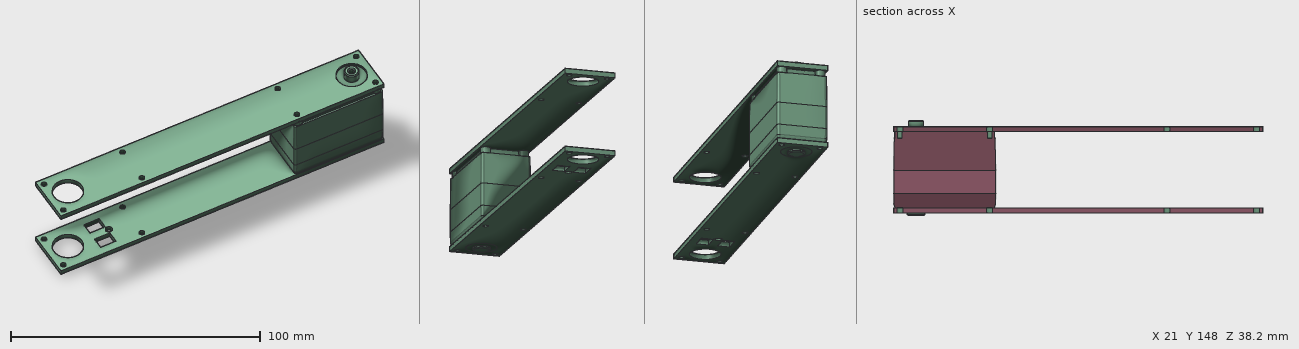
import cadquery as cq
import math

arm_length = 148.0
arm_width = 21.0
plate_thickness = 2.0
overall_height = 38.2

case_corner_radius = 1.0
case_draft = 1.0

lower_plate_bottom = 1.0
lower_case_shoulder = 4.6
lower_seam = 8.9
upper_seam = 18.2
case_ledge = 31.0
upper_plate_bottom = 33.6
boss_recess = 1.0

lower_plate_top = lower_plate_bottom + plate_thickness
upper_plate_top = upper_plate_bottom + plate_thickness
upper_boss_top = upper_plate_top - boss_recess

screw_hole_diameter = 2.2
screw_inset = 2.5
screw_pitch_y = 36.0
post_diameter = 4.1
pilot_hole_diameter = 1.6

neck_inset_x = 1.0
neck_inset_y = 1.9
neck_draft = 15.0
foot_draft = 16.0

bore_diameter = 12.6
pivot_inset = 9.0

window_size_x = 5.0
window_size_y = 7.0
window_offset_x = 4.5
window_from_bore = 14.6
cable_hole_diameter = 2.8
cable_hole_from_bore = 18.8

shaft_diameter = 6.0
shaft_chamfer = 0.5
socket_diameter = 2.2
socket_rim_diameter = 3.3
socket_depth = 3.0
socket_rim_angle = 90.0

cap_diameter = 7.1
cap_chamfer = 0.5

case_length = screw_pitch_y + 2 * screw_inset
pivot_y = arm_length / 2 - pivot_inset
case_center_y = arm_length / 2 - case_length / 2
screw_x = arm_width / 2 - screw_inset
screw_outer_y = arm_length / 2 - screw_inset
screw_inner_y = screw_outer_y - screw_pitch_y
case_screw_points = [(x, y) for x in (-screw_x, screw_x) for y in (screw_inner_y, screw_outer_y)]
plate_screw_points = case_screw_points + [(x, -y) for x, y in case_screw_points]


def cylinder(diameter, bottom, top, points):
    """Vertical cylinders between two levels."""
    return (
        cq.Workplane("XY", origin=(0, 0, bottom))
        .pushPoints(points)
        .circle(diameter / 2)
        .extrude(top - bottom)
    )


def plate(bottom):
    """Flat arm with a pivot bore at each end and two groups of four screw holes."""
    top = bottom + plate_thickness
    blank = cq.Workplane("XY", origin=(0, 0, bottom)).rect(arm_width, arm_length).extrude(plate_thickness)
    bores = cylinder(bore_diameter, bottom, top, [(0, pivot_y), (0, -pivot_y)])
    screw_holes = cylinder(screw_hole_diameter, bottom, top, plate_screw_points)
    return blank.cut(bores).cut(screw_holes)


def lower_plate():
    """Arm plate with two rectangular windows and a cable hole near its free end."""
    window_y = window_from_bore - pivot_y
    windows = (
        cq.Workplane("XY", origin=(0, 0, lower_plate_bottom))
        .pushPoints([(-window_offset_x, window_y), (window_offset_x, window_y)])
        .rect(window_size_x, window_size_y)
        .extrude(plate_thickness)
    )
    cable_hole = cylinder(
        cable_hole_diameter, lower_plate_bottom, lower_plate_top, [(0, cable_hole_from_bore - pivot_y)]
    )
    return plate(lower_plate_bottom).cut(windows).cut(cable_hole)


def case_block(start, end, inset_x=0.0, inset_y=0.0, taper=0.0):
    """Rounded block of the motor case that narrows from its start level to its end level."""
    rounded_outline = (
        cq.Sketch()
        .rect(arm_width - 2 * inset_x, case_length - 2 * inset_y)
        .vertices()
        .fillet(case_corner_radius)
    )
    return (
        cq.Workplane("XY", origin=(0, case_center_y, start))
        .placeSketch(rounded_outline)
        .extrude(end - start, taper=taper)
    )


def upper_case():
    """Drafted cover with a neck, four drilled posts and a boss in the upper plate's bore."""
    cover = case_block(upper_seam, case_ledge, taper=case_draft)
    neck = case_block(case_ledge, upper_plate_bottom, neck_inset_x, neck_inset_y, neck_draft)
    posts = cylinder(post_diameter, case_ledge, upper_plate_bottom, case_screw_points)
    boss = cylinder(bore_diameter, case_ledge, upper_boss_top, [(0, pivot_y)])
    pilot_holes = cylinder(pilot_hole_diameter, case_ledge, upper_plate_bottom, case_screw_points)
    return cover.union(neck).union(posts).union(boss).cut(pilot_holes)


def middle_case():
    """Straight middle section of the motor case."""
    return case_block(lower_seam, upper_seam)


def lower_case():
    """Drafted cover with a tapered foot and a boss that fills the lower plate's bore."""
    cover = case_block(lower_seam, lower_case_shoulder, taper=case_draft)
    shoulder_inset = (lower_seam - lower_case_shoulder) * math.tan(math.radians(case_draft))
    foot = case_block(lower_case_shoulder, lower_plate_top, shoulder_inset, shoulder_inset, foot_draft)
    boss = cylinder(bore_diameter, lower_plate_bottom, lower_case_shoulder, [(0, pivot_y)])
    return cover.union(foot).union(boss)


def output_shaft():
    """Chamfered shaft on the upper boss, with a countersunk blind socket."""
    shaft = cylinder(shaft_diameter, upper_boss_top, overall_height, [(0, pivot_y)])
    shaft = shaft.faces(">Z").chamfer(shaft_chamfer)
    return shaft.faces(">Z").workplane(origin=(0, pivot_y, overall_height)).cskHole(
        socket_diameter, socket_rim_diameter, socket_rim_angle, socket_depth
    )


def pivot_cap():
    """Chamfered disc on the underside of the lower boss."""
    return cylinder(cap_diameter, 0, lower_plate_bottom, [(0, pivot_y)]).faces("<Z").chamfer(cap_chamfer)


result = cq.Compound.makeCompound(
    [
        lower_plate().val(),
        plate(upper_plate_bottom).val(),
        lower_case().val(),
        middle_case().val(),
        upper_case().val(),
        output_shaft().val(),
        pivot_cap().val(),
    ]
)